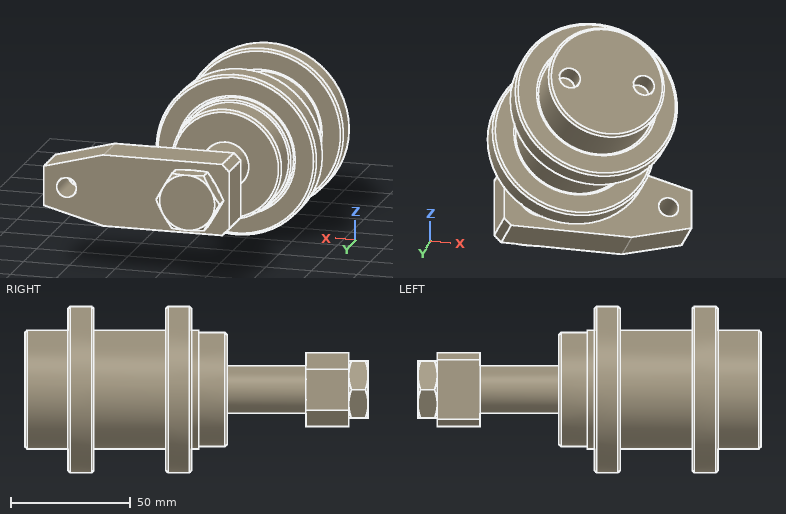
import cadquery as cq
import math


EDGE_CHAMFER = 1.0

BARREL_DIAMETER = 50.0
BARREL_LENGTH = 73.0
NECK_DIAMETER = 48.0
HOUSING_LENGTH = 85.0
PORT_DIAMETER = 9.0
PORT_SPACING = 32.0
PORT_DEPTH = 10.1

RING_DIAMETER = 70.0
RING_WIDTH = 11.0
RING_STARTS = (18.0, 59.0)

ROD_DIAMETER = 20.0
ROD_LENGTH = 33.0

ARM_THICKNESS = 18.0
ARM_HALF_WIDTH = 15.5
ARM_BACK = -16.0
ARM_TIP = 65.0
ARM_TAPER_START = 39.0
ARM_TAPER_ANGLE = 15.0
ARM_BACK_CHAMFER = 3.0
TIP_HOLE_X = 55.0
TIP_HOLE_DIAMETER = 8.5

NUT_SIDES = 6
NUT_ACROSS_FLATS = 24.0
NUT_HEIGHT = 8.0
NUT_CHAMFER_ANGLE = 30.0

ARM_START = HOUSING_LENGTH + ROD_LENGTH
NUT_START = ARM_START + ARM_THICKNESS


def plane_at(y):
    """Work plane across the axis at the given Y, facing +Y (its local x points to -X)."""
    return cq.Workplane(cq.Plane(origin=(0, y, 0), xDir=(-1, 0, 0), normal=(0, 1, 0)))


def cylinder(diameter, y_start, length):
    return plane_at(y_start).circle(diameter / 2).extrude(length)


def make_housing():
    """Stepped cylinder with chamfered ends and two blind ports in the front face."""
    barrel = cylinder(BARREL_DIAMETER, 0, BARREL_LENGTH)
    barrel = barrel.faces("<Y").chamfer(EDGE_CHAMFER)
    neck = cylinder(NECK_DIAMETER, BARREL_LENGTH, HOUSING_LENGTH - BARREL_LENGTH)
    neck = neck.faces(">Y").chamfer(EDGE_CHAMFER)
    ports = (
        plane_at(0)
        .pushPoints([(-PORT_SPACING / 2, 0), (PORT_SPACING / 2, 0)])
        .circle(PORT_DIAMETER / 2)
        .extrude(PORT_DEPTH)
    )
    return barrel.union(neck).cut(ports)


def make_ring(y_start):
    """Flat ring fitting the barrel, chamfered on its outer and bore edges."""
    ring = (
        plane_at(y_start)
        .circle(RING_DIAMETER / 2)
        .circle(BARREL_DIAMETER / 2)
        .extrude(RING_WIDTH)
    )
    return ring.faces("<Y or >Y").chamfer(EDGE_CHAMFER)


def make_rod():
    """Plain rod between the neck of the housing and the arm."""
    return cylinder(ROD_DIAMETER, HOUSING_LENGTH, ROD_LENGTH)


def make_arm():
    """Flat arm with chamfered back corners, a tapered tip and a through hole near the tip."""
    taper_drop = (ARM_TIP - ARM_TAPER_START) * math.tan(math.radians(ARM_TAPER_ANGLE))
    tip_half_width = ARM_HALF_WIDTH - taper_drop
    back_half_width = ARM_HALF_WIDTH - ARM_BACK_CHAMFER
    upper_edge = [
        (ARM_BACK, back_half_width),
        (ARM_BACK + ARM_BACK_CHAMFER, ARM_HALF_WIDTH),
        (ARM_TAPER_START, ARM_HALF_WIDTH),
        (ARM_TIP, tip_half_width),
    ]
    lower_edge = [(x, -z) for x, z in reversed(upper_edge)]
    front_face = cq.Workplane("XZ", origin=(0, ARM_START, 0))
    arm = front_face.polyline(upper_edge + lower_edge).close().extrude(-ARM_THICKNESS)
    hole = front_face.center(TIP_HOLE_X, 0).circle(TIP_HOLE_DIAMETER / 2).extrude(-ARM_THICKNESS)
    return arm.cut(hole)


def make_nut():
    """Hexagon with flats facing up and down, its corners cut by a cone at both ends."""
    corner_diameter = NUT_ACROSS_FLATS / math.cos(math.pi / NUT_SIDES)
    cone_width = (corner_diameter - NUT_ACROSS_FLATS) / 2
    cone_depth = cone_width * math.tan(math.radians(NUT_CHAMFER_ANGLE))
    hexagon = plane_at(NUT_START).polygon(NUT_SIDES, corner_diameter).extrude(NUT_HEIGHT)
    nut_end = NUT_START + NUT_HEIGHT
    half_profile = [
        (0, NUT_START),
        (NUT_ACROSS_FLATS / 2, NUT_START),
        (corner_diameter / 2, NUT_START + cone_depth),
        (corner_diameter / 2, nut_end - cone_depth),
        (NUT_ACROSS_FLATS / 2, nut_end),
        (0, nut_end),
    ]
    envelope = cq.Workplane("XY").polyline(half_profile).close().revolve(360, (0, 0, 0), (0, 1, 0))
    return hexagon.intersect(envelope)


housing = make_housing()
rings = [make_ring(y_start) for y_start in RING_STARTS]
rod = make_rod()
arm = make_arm()
nut = make_nut()

result = cq.Compound.makeCompound([
    housing.val(),
    *[ring.val() for ring in rings],
    rod.val(),
    arm.val(),
    nut.val(),
])